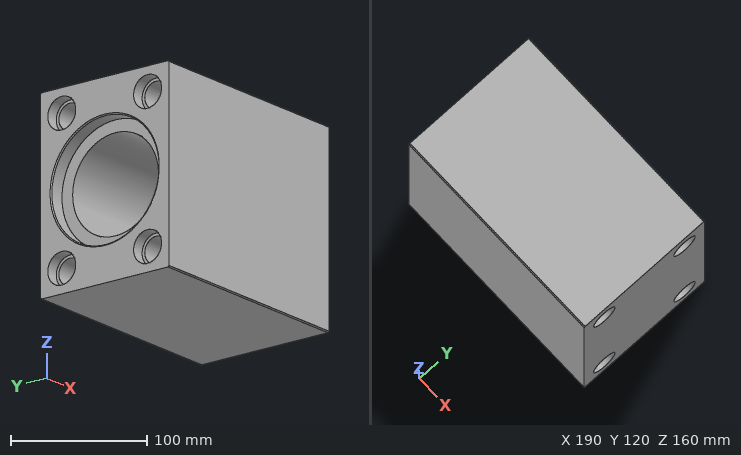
import cadquery as cq

length = 190.0
width = 120.0
height = 160.0
edge_chamfer = 1.0

bore_diameter = 80.0
end_wall = (width - bore_diameter) / 2
bore_depth = length - end_wall

mouth_diameter = 100.0
mouth_depth = 13.0
mouth_chamfer = 1.0

bolt_hole_diameter = 21.0
bolt_counterbore_diameter = 26.0
bolt_counterbore_depth = 10.0
bolt_spacing_y = 80.0
bolt_spacing_z = 120.0


def make_block():
    """Block from x = 0 to x = length, with its long edges chamfered."""
    block = cq.Workplane("XY").box(length, width, height, centered=(False, True, True))
    return block.edges("|X").chamfer(edge_chamfer)


def make_bore():
    """Main bore, its stepped mouth and the chamfer at the open end, turned about X."""
    bore_radius = bore_diameter / 2
    mouth_radius = mouth_diameter / 2
    half_section = [
        (0, 0),
        (0, mouth_radius + mouth_chamfer),
        (mouth_chamfer, mouth_radius),
        (mouth_depth, mouth_radius),
        (mouth_depth, bore_radius),
        (bore_depth, bore_radius),
        (bore_depth, 0),
    ]
    profile = cq.Workplane("XY").polyline(half_section).close()
    return profile.revolve(360, (0, 0, 0), (1, 0, 0))


def make_bolt_holes():
    """Four through holes with counterbores at the -X face."""
    centers = cq.Workplane("YZ").rarray(bolt_spacing_y, bolt_spacing_z, 2, 2)
    holes = centers.circle(bolt_hole_diameter / 2).extrude(length)
    counterbores = centers.circle(bolt_counterbore_diameter / 2).extrude(bolt_counterbore_depth)
    return holes.union(counterbores)


body = make_block().cut(make_bore()).cut(make_bolt_holes())
result = body.translate((-length / 2, 0, 0))